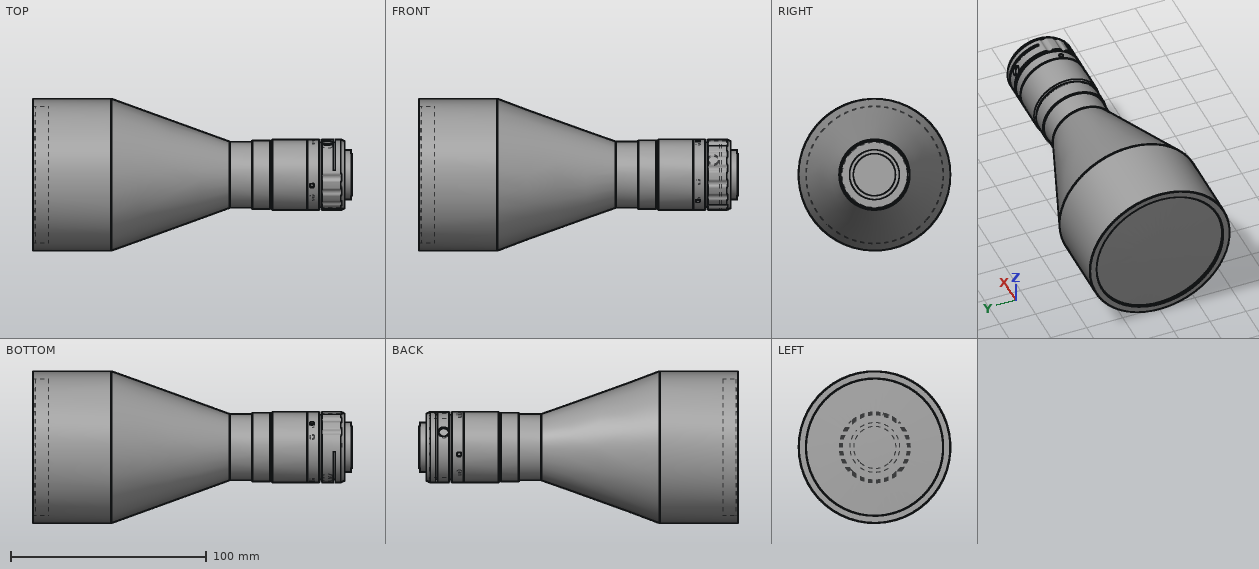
import cadquery as cq
import math

TOTAL_LENGTH = 163.5
OVERLAP = 1.6

FRONT_RADIUS = 38.98
RIM_CHAMFER = 0.3
CONE_START_X = 40.2
CONE_END_X = 100.8

NECK_RADIUS = 17.0
NECK_END_X = 112.1
COLLAR_RADIUS = 17.6
COLLAR_CHAMFER = 0.3
COLLAR_END_X = 121.3
GRIP_RADIUS = 18.1
BODY_START_X = 121.9
BODY_FRONT_CHAMFER = 0.8
BODY_END_X = 146.9
BODY_REAR_CHAMFER = 0.5

JOINT_WIDTH = 0.5
JOINT_DEPTH = 0.2
BODY_JOINT_X = 140.5

GAP_RADIUS = 16.7
RING_START_X = 147.9
RING_START_CHAMFER = 0.3
RING_END_X = 159.7
RING_EDGE_DROP = 1.0
RING_EDGE_LENGTH = 2.0

MOUNT_RADIUS = 12.7
LIP_RADIUS = 10.8
LIP_LENGTH = 0.5

LENS_RADIUS = 35.0
LENS_RECESS = 1.3
LENS_SAG = 1.0
LENS_THICKNESS = 6.5
LENS_BACK_X = LENS_RECESS + LENS_THICKNESS

KNURL_COUNT = 7
KNURL_FIRST_ANGLE = 85.5
KNURL_STEP = -25.0
KNURL_RADIUS = 2.1
KNURL_DEPTH = 0.8
KNURL_EDGE_FILLET = 1.6
KNURL_END_X = 158.0

SLOT_X = 154.3
SLOT_WIDTH = 1.0
SLOT_END_Y = 2.3
SLOT_FLOOR_RADIUS = GAP_RADIUS
SCREW_X = 150.7
SCREW_ANGLE = 154.0
SCREW_RADIUS = 2.6
SCREW_DEPTH = 1.6

SET_HOLE_X = 142.8
SET_HOLE_RADIUS = 1.1
SET_HOLE_DEPTH = 1.6
SET_HOLE_COUNT = 3
SET_HOLE_FIRST_ANGLE = 72.0


def revolve_about_x(outline):
    return outline.close().revolve(360, (0, 0, 0), (1, 0, 0))


def cylinder_along_x(radius, start_x, end_x):
    plane = cq.Workplane("YZ", origin=(start_x, 0, 0))
    return plane.circle(radius).extrude(end_x - start_x)


def radial_hole(x, angle, radius, depth):
    """Tool for a flat-bottomed hole drilled toward the axis from the grip surface."""
    outward = cq.Vector(0, -math.cos(math.radians(angle)), math.sin(math.radians(angle)))
    floor = outward * (GRIP_RADIUS - depth) + cq.Vector(x, 0, 0)
    return cq.Workplane(cq.Solid.makeCylinder(radius, depth + OVERLAP, floor, outward))


def make_turned_body():
    lip_x = TOTAL_LENGTH - LIP_LENGTH
    outline = cq.Workplane("XY").polyline([
        (0, 0),
        (0, FRONT_RADIUS - RIM_CHAMFER),
        (RIM_CHAMFER, FRONT_RADIUS),
        (CONE_START_X, FRONT_RADIUS),
        (CONE_END_X, NECK_RADIUS),
        (NECK_END_X, NECK_RADIUS),
        (NECK_END_X, COLLAR_RADIUS - COLLAR_CHAMFER),
        (NECK_END_X + COLLAR_CHAMFER, COLLAR_RADIUS),
        (COLLAR_END_X, COLLAR_RADIUS),
        (COLLAR_END_X, NECK_RADIUS),
        (BODY_START_X, NECK_RADIUS),
        (BODY_START_X, GRIP_RADIUS - BODY_FRONT_CHAMFER),
        (BODY_START_X + BODY_FRONT_CHAMFER, GRIP_RADIUS),
        (BODY_END_X - BODY_REAR_CHAMFER, GRIP_RADIUS),
        (BODY_END_X, GRIP_RADIUS - BODY_REAR_CHAMFER),
        (BODY_END_X, GAP_RADIUS),
        (RING_START_X, GAP_RADIUS),
        (RING_START_X, GRIP_RADIUS - RING_START_CHAMFER),
        (RING_START_X + RING_START_CHAMFER, GRIP_RADIUS),
        (RING_END_X - RING_EDGE_LENGTH, GRIP_RADIUS),
        (RING_END_X, GRIP_RADIUS - RING_EDGE_DROP),
        (RING_END_X, MOUNT_RADIUS),
        (lip_x, MOUNT_RADIUS),
        (lip_x, LIP_RADIUS),
        (TOTAL_LENGTH, LIP_RADIUS),
        (TOTAL_LENGTH, 0),
    ])
    return revolve_about_x(outline)


def cut_lens_seat(body):
    """Bore that holds the lens, with a bevel at its mouth."""
    seat = revolve_about_x(
        cq.Workplane("XY").polyline([
            (0, 0),
            (0, LENS_RADIUS + RIM_CHAMFER),
            (RIM_CHAMFER, LENS_RADIUS),
            (LENS_BACK_X, LENS_RADIUS),
            (LENS_BACK_X, 0),
        ])
    )
    return body.cut(seat)


def cut_joint_grooves(body):
    for x, radius in [
        (CONE_START_X, FRONT_RADIUS),
        (CONE_END_X, NECK_RADIUS),
        (BODY_JOINT_X, GRIP_RADIUS),
    ]:
        start_x = x - JOINT_WIDTH / 2
        end_x = x + JOINT_WIDTH / 2
        groove = cylinder_along_x(radius + OVERLAP, start_x, end_x)
        core = cylinder_along_x(radius - JOINT_DEPTH, start_x, end_x)
        body = body.cut(groove.cut(core))
    return body


def make_knurl_groove():
    """Tool for one scalloped groove with rounded edges, at angle zero."""
    scallop_orbit = GRIP_RADIUS - KNURL_DEPTH + KNURL_RADIUS
    edge_orbit = GRIP_RADIUS - KNURL_EDGE_FILLET
    reach = KNURL_RADIUS + KNURL_EDGE_FILLET
    cos_edge = (scallop_orbit**2 + edge_orbit**2 - reach**2) / (2 * scallop_orbit * edge_orbit)
    edge_angle = math.acos(cos_edge)

    def on_circle(radius, angle):
        return (-radius * math.cos(angle), radius * math.sin(angle))

    def edge_points(side):
        center = on_circle(edge_orbit, side * edge_angle)
        rim = on_circle(GRIP_RADIUS, side * edge_angle)
        share = KNURL_EDGE_FILLET / reach
        joint = (center[0] - (scallop_orbit + center[0]) * share, center[1] * (1 - share))
        chord = ((rim[0] + joint[0]) / 2 - center[0], (rim[1] + joint[1]) / 2 - center[1])
        stretch = KNURL_EDGE_FILLET / math.hypot(*chord)
        middle = (center[0] + chord[0] * stretch, center[1] + chord[1] * stretch)
        return rim, middle, joint

    rim_a, middle_a, joint_a = edge_points(-1)
    rim_b, middle_b, joint_b = edge_points(1)
    outer_y = -GRIP_RADIUS - OVERLAP
    return (
        cq.Workplane("YZ", origin=(BODY_END_X, 0, 0))
        .moveTo(outer_y, rim_a[1])
        .lineTo(*rim_a)
        .threePointArc(middle_a, joint_a)
        .threePointArc((KNURL_DEPTH - GRIP_RADIUS, 0), joint_b)
        .threePointArc(middle_b, rim_b)
        .lineTo(outer_y, rim_b[1])
        .close()
        .extrude(KNURL_END_X - BODY_END_X)
    )


def cut_knurl(body):
    groove = make_knurl_groove()
    for index in range(KNURL_COUNT):
        angle = KNURL_FIRST_ANGLE + index * KNURL_STEP
        body = body.cut(groove.rotate((0, 0, 0), (1, 0, 0), -angle))
    return body


def cut_clamp_slot(body):
    reach = GRIP_RADIUS + OVERLAP
    blade = cq.Workplane("XY").box(
        SLOT_WIDTH, reach - SLOT_END_Y, 2 * reach
    ).translate((SLOT_X, (SLOT_END_Y + reach) / 2, 0))
    core = cylinder_along_x(SLOT_FLOOR_RADIUS, SLOT_X - SLOT_WIDTH, SLOT_X + SLOT_WIDTH)
    return body.cut(blade.cut(core))


def cut_set_holes(body):
    for index in range(SET_HOLE_COUNT):
        angle = SET_HOLE_FIRST_ANGLE + index * 360 / SET_HOLE_COUNT
        body = body.cut(radial_hole(SET_HOLE_X, angle, SET_HOLE_RADIUS, SET_HOLE_DEPTH))
    return body


def make_housing():
    body = make_turned_body()
    body = cut_lens_seat(body)
    body = cut_joint_grooves(body)
    body = cut_knurl(body)
    body = cut_clamp_slot(body)
    body = body.cut(radial_hole(SCREW_X, SCREW_ANGLE, SCREW_RADIUS, SCREW_DEPTH))
    return cut_set_holes(body)


def make_lens():
    """Disc with a slightly domed front, set back behind the front rim."""
    apex_x = LENS_RECESS - LENS_SAG
    sphere_radius = (LENS_RADIUS**2 + LENS_SAG**2) / (2 * LENS_SAG)
    middle_y = LENS_RADIUS / 2
    middle_x = apex_x + sphere_radius - math.sqrt(sphere_radius**2 - middle_y**2)
    outline = (
        cq.Workplane("XY")
        .moveTo(apex_x, 0)
        .threePointArc((middle_x, middle_y), (LENS_RECESS, LENS_RADIUS))
        .lineTo(LENS_BACK_X, LENS_RADIUS)
        .lineTo(LENS_BACK_X, 0)
    )
    return revolve_about_x(outline)


housing = make_housing()
lens = make_lens()
result = cq.Compound.makeCompound([housing.val(), lens.val()])